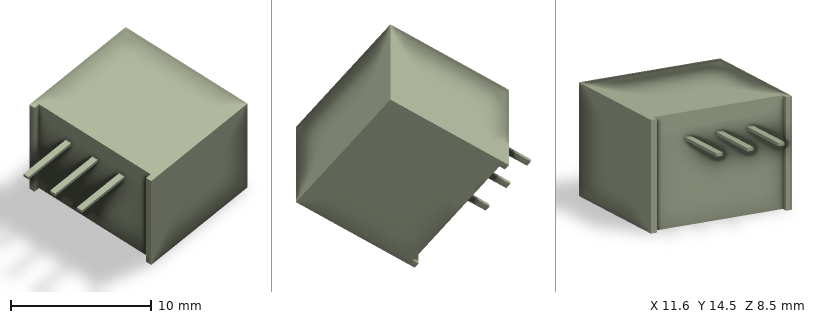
import cadquery as cq

housing_width = 11.6
housing_height = 8.5
overall_length = 14.5
housing_length = 10.4
rail_width = 0.5
rail_depth = 0.5
front_face_y = -(housing_length - rail_depth)

pin_count = 3
pin_pitch = 2.54
pin_width = 0.5
pin_thickness = 0.25
pin_row_x = 0.05
pin_z = housing_height - 1.99
pin_length = overall_length - housing_length + rail_depth
pin_positions = [pin_row_x + (i - (pin_count - 1) / 2) * pin_pitch for i in range(pin_count)]

dot_diameter = 0.8
dot_depth = 0.1
dot_x = pin_positions[0]
dot_front_setback = 1.45
dot_y = front_face_y + dot_front_setback


def make_pin(x):
    """Flat pin that butts against the front face and points along -Y."""
    return (
        cq.Workplane("XY")
        .box(pin_width, pin_length, pin_thickness)
        .translate((x, front_face_y - pin_length / 2, pin_z))
    )


def make_marker_dot():
    """Thin disc whose upper face is level with the housing top."""
    return (
        cq.Workplane("XY", origin=(dot_x, dot_y, housing_height - dot_depth))
        .circle(dot_diameter / 2)
        .extrude(dot_depth)
    )


def make_housing(dot):
    """Block with a rail along each front side edge and a recess for the dot."""
    block = cq.Workplane("XY").box(
        housing_width, housing_length, housing_height, centered=(True, False, False)
    ).translate((0, -housing_length, 0))
    front_recess = cq.Workplane("XY").box(
        housing_width - 2 * rail_width, rail_depth, housing_height, centered=(True, False, False)
    ).translate((0, -housing_length, 0))
    return block.cut(front_recess).cut(dot)


marker_dot = make_marker_dot()
housing = make_housing(marker_dot)
pins = [make_pin(x) for x in pin_positions]

result = cq.Compound.makeCompound([housing.val(), marker_dot.val(), *[pin.val() for pin in pins]])